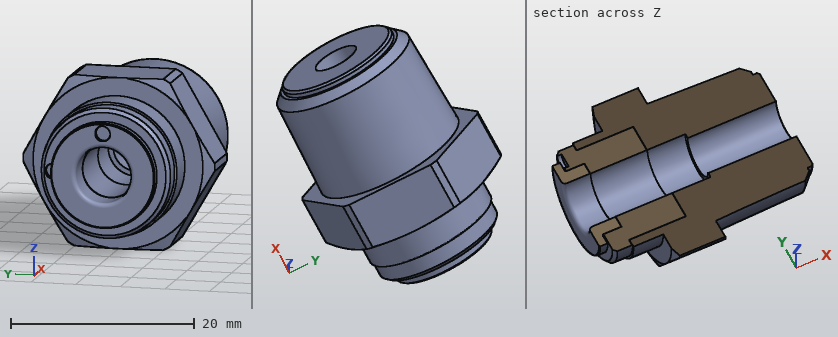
import cadquery as cq
import math


TOTAL_LENGTH = 25.6
COLLAR_BACK = 1.02
CARTRIDGE_FRONT = 1.1
COLLAR_TIP = 3.35
HOUSING_FRONT = 3.35
HEX_FRONT = 6.95
CARTRIDGE_BACK = 10.25
HEX_BACK = 12.9
TUBE_STOP = 14.85
THREAD_CHAMFER_START = 23.9
THREAD_END = 24.88

FLANGE_DIAMETER = 11.7
FLANGE_CHAMFER = 0.13
STEM_DIAMETER = 9.2
COLLAR_BORE = 6.2
ENTRY_RADIUS = 0.49

HEAD_DIAMETER = 14.5
HEAD_CHAMFER = 0.4
SPIGOT_DIAMETER = 13.0

MARK_DIAMETER = 1.7
MARK_DEPTH = 0.5
COLLAR_MARK_OFFSET = 4.68
CARTRIDGE_MARK_OFFSET = 5.85

NECK_DIAMETER = 15.0
HEX_ACROSS_FLATS = 19.05
HEX_CORNER_DIAMETER = 21.5
HEX_CHAMFER_LENGTH = 0.4
THREAD_END_DIAMETER = 16.25
THREAD_TAPER = 1 / 16
PILOT_DIAMETER = 13.5
PILOT_CHAMFER = 0.25
TUBE_BORE = 6.15
FLOW_BORE = 5.0

HEX_SIDES = 6


def cylinder(diameter, start, end):
    """Solid cylinder on the X axis between two axial positions."""
    return cq.Workplane("YZ", origin=(start, 0, 0)).circle(diameter / 2).extrude(end - start)


def turned_solid(profile):
    """Solid turned from (axial position, radius) points, closed along the X axis."""
    first_x, last_x = profile[0][0], profile[-1][0]
    points = [(first_x, 0), *profile, (last_x, 0)]
    return cq.Workplane("XY").polyline(points).close().revolve(360, (0, 0, 0), (1, 0, 0))


def face_mark(face_x, y, z):
    """Tool for a round recess in a face that looks towards -X."""
    return cylinder(MARK_DIAMETER, face_x, face_x + MARK_DEPTH).translate((0, y, z))


def make_collar():
    flange = cylinder(FLANGE_DIAMETER, 0, COLLAR_BACK).faces("<X").chamfer(FLANGE_CHAMFER)
    stem = cylinder(STEM_DIAMETER, COLLAR_BACK, COLLAR_TIP)
    bored = flange.union(stem).cut(cylinder(COLLAR_BORE, 0, COLLAR_TIP))
    rounded = bored.faces("<X").edges(cq.selectors.RadiusNthSelector(0)).fillet(ENTRY_RADIUS)
    return rounded.cut(face_mark(0, 0, COLLAR_MARK_OFFSET))


def make_cartridge():
    head = cylinder(HEAD_DIAMETER, CARTRIDGE_FRONT, HOUSING_FRONT).faces("<X").chamfer(HEAD_CHAMFER)
    spigot = cylinder(SPIGOT_DIAMETER, HOUSING_FRONT, CARTRIDGE_BACK)
    stem_hole = cylinder(STEM_DIAMETER, CARTRIDGE_FRONT, COLLAR_TIP)
    tube_hole = cylinder(TUBE_BORE, COLLAR_TIP, CARTRIDGE_BACK)
    body = head.union(spigot).cut(stem_hole).cut(tube_hole)
    return body.cut(face_mark(CARTRIDGE_FRONT, CARTRIDGE_MARK_OFFSET, 0))


def make_hexagon():
    """Hexagon with corners on the Y axis, turned to a round envelope with a chamfered front."""
    sharp_corners = HEX_ACROSS_FLATS / math.cos(math.pi / HEX_SIDES)
    plane = cq.Workplane("YZ", origin=(HEX_FRONT, 0, 0))
    prism = plane.polygon(HEX_SIDES, sharp_corners).extrude(HEX_BACK - HEX_FRONT)
    envelope = turned_solid(
        [
            (HEX_FRONT, HEX_ACROSS_FLATS / 2),
            (HEX_FRONT + HEX_CHAMFER_LENGTH, HEX_CORNER_DIAMETER / 2),
            (HEX_BACK, HEX_CORNER_DIAMETER / 2),
        ]
    )
    return prism.intersect(envelope)


def make_housing():
    neck = cylinder(NECK_DIAMETER, HOUSING_FRONT, HEX_FRONT)
    thread_small_radius = THREAD_END_DIAMETER / 2
    thread_large_radius = thread_small_radius + THREAD_TAPER / 2 * (THREAD_CHAMFER_START - HEX_BACK)
    chamfer_size = THREAD_END - THREAD_CHAMFER_START
    thread = turned_solid(
        [
            (HEX_BACK, thread_large_radius),
            (THREAD_CHAMFER_START, thread_small_radius),
            (THREAD_END, thread_small_radius - chamfer_size),
        ]
    )
    pilot = cylinder(PILOT_DIAMETER, THREAD_END, TOTAL_LENGTH).faces(">X").chamfer(PILOT_CHAMFER)
    body = neck.union(make_hexagon()).union(thread).union(pilot)
    body = body.cut(cylinder(SPIGOT_DIAMETER, HOUSING_FRONT, CARTRIDGE_BACK))
    body = body.cut(cylinder(TUBE_BORE, CARTRIDGE_BACK, TUBE_STOP))
    return body.cut(cylinder(FLOW_BORE, TUBE_STOP, TOTAL_LENGTH))


collar = make_collar()
cartridge = make_cartridge()
housing = make_housing()

result = cq.Compound.makeCompound([collar.val(), cartridge.val(), housing.val()])